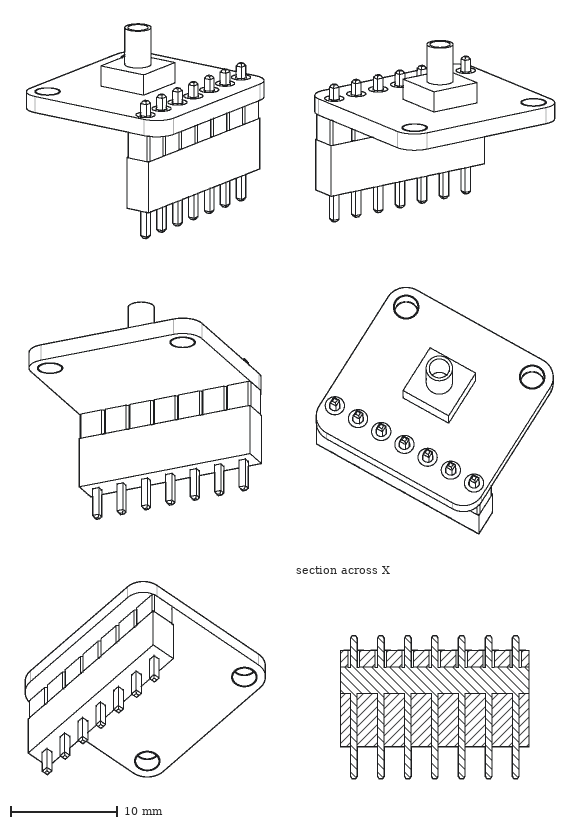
import cadquery as cq

BOARD_LENGTH = 16.7
BOARD_WIDTH = 17.78
BOARD_THICKNESS = 1.6
CORNER_RADIUS = 2.0
MOUNT_HOLE_DIAMETER = 2.2
MOUNT_PAD_DIAMETER = 2.4
PIN_HOLE_DIAMETER = 1.01
PIN_PAD_DIAMETER = 1.81
PAD_HEIGHT = 0.02

SENSOR_X = -0.85
BLOCK_SIDE = 5.0
BLOCK_HEIGHT = 2.0
TUBE_HEIGHT = 3.61
TUBE_OUTER_DIAMETER = 2.49
TUBE_BORE_DIAMETER = 1.9

PIN_COUNT = 7
HEADER_X = 5.6
SPACER_HEIGHT = 2.5
SPACER_CHAMFER = 0.2
BASE_HEIGHT = 5.0
PIN_SIDE = 0.65
PIN_ABOVE_BOARD = 1.39
PIN_BELOW_BASE = 3.0
PIN_TIP_INSET = 0.16
PIN_TIP_HEIGHT = 0.25

pin_pitch = BOARD_WIDTH / PIN_COUNT
pin_points = [(HEADER_X, (i - (PIN_COUNT - 1) / 2) * pin_pitch) for i in range(PIN_COUNT)]

mount_x = CORNER_RADIUS - BOARD_LENGTH / 2
mount_y = BOARD_WIDTH / 2 - CORNER_RADIUS
mount_points = [(mount_x, -mount_y), (mount_x, mount_y)]

board_bottom = -BOARD_THICKNESS
spacer_bottom = board_bottom - SPACER_HEIGHT
base_bottom = spacer_bottom - BASE_HEIGHT


def make_discs(points, diameter, bottom, top):
    """Upright cylinders at the given points, between two heights."""
    plane = cq.Workplane("XY", origin=(0, 0, bottom))
    return plane.pushPoints(points).circle(diameter / 2).extrude(top - bottom)


def make_plate():
    """Rounded plate with raised pads around its mounting holes and pin holes."""
    plate = (
        cq.Workplane("XY", origin=(0, 0, board_bottom))
        .rect(BOARD_LENGTH, BOARD_WIDTH)
        .extrude(BOARD_THICKNESS)
        .edges("|Z")
        .fillet(CORNER_RADIUS)
    )
    pads_bottom = board_bottom - PAD_HEIGHT
    mount_pads = make_discs(mount_points, MOUNT_PAD_DIAMETER, pads_bottom, PAD_HEIGHT)
    pin_pads = make_discs(pin_points, PIN_PAD_DIAMETER, board_bottom, PAD_HEIGHT)
    mount_holes = make_discs(mount_points, MOUNT_HOLE_DIAMETER, pads_bottom, PAD_HEIGHT)
    pin_holes = make_discs(pin_points, PIN_HOLE_DIAMETER, board_bottom, PAD_HEIGHT)
    return plate.union(mount_pads).union(pin_pads).cut(mount_holes).cut(pin_holes)


def make_sensor():
    """Square block with a tube whose bore ends at the top of the block."""
    block = cq.Workplane("XY", origin=(SENSOR_X, 0, 0)).rect(BLOCK_SIDE, BLOCK_SIDE).extrude(BLOCK_HEIGHT)
    tube = (
        cq.Workplane("XY", origin=(SENSOR_X, 0, BLOCK_HEIGHT))
        .circle(TUBE_OUTER_DIAMETER / 2)
        .circle(TUBE_BORE_DIAMETER / 2)
        .extrude(TUBE_HEIGHT)
    )
    return block.union(tube)


def make_board():
    """Plate and sensor, joined as one body."""
    return make_plate().union(make_sensor())


def make_pin(point):
    """Square pin with a tapered tip at each end."""
    x, y = point
    bottom = base_bottom - PIN_BELOW_BASE
    tip_side = PIN_SIDE - 2 * PIN_TIP_INSET
    shank_bottom = bottom + PIN_TIP_HEIGHT
    shank_top = PIN_ABOVE_BOARD - PIN_TIP_HEIGHT
    shank_length = shank_top - shank_bottom

    def taper(z, direction):
        return (
            cq.Workplane("XY", origin=(x, y, z))
            .rect(PIN_SIDE, PIN_SIDE)
            .workplane(offset=direction * PIN_TIP_HEIGHT)
            .rect(tip_side, tip_side)
            .loft(ruled=True)
        )

    shank = cq.Workplane("XY", origin=(x, y, shank_bottom)).rect(PIN_SIDE, PIN_SIDE).extrude(shank_length)
    return shank.union(taper(shank_top, 1)).union(taper(shank_bottom, -1))


def make_spacer(point):
    """Square segment with chamfered upright edges, between the base and the board."""
    x, y = point
    return (
        cq.Workplane("XY", origin=(x, y, spacer_bottom))
        .rect(pin_pitch, pin_pitch)
        .extrude(SPACER_HEIGHT)
        .edges("|Z")
        .chamfer(SPACER_CHAMFER)
    )


def make_header():
    """Row of spacer segments with one pin through each."""
    header = cq.Workplane("XY")
    for point in pin_points:
        header = header.add(make_spacer(point)).add(make_pin(point))
    return header.combine()


def make_base():
    """Plain bar under the spacer segments, with a square hole for each pin."""
    bar = (
        cq.Workplane("XY", origin=(HEADER_X, 0, base_bottom))
        .rect(pin_pitch, BOARD_WIDTH)
        .extrude(BASE_HEIGHT)
    )
    pin_holes = (
        cq.Workplane("XY", origin=(0, 0, base_bottom))
        .pushPoints(pin_points)
        .rect(PIN_SIDE, PIN_SIDE)
        .extrude(BASE_HEIGHT)
    )
    return bar.cut(pin_holes)


board = make_board()
header = make_header()
base = make_base()

result = cq.Compound.makeCompound([board.val(), header.val(), base.val()])